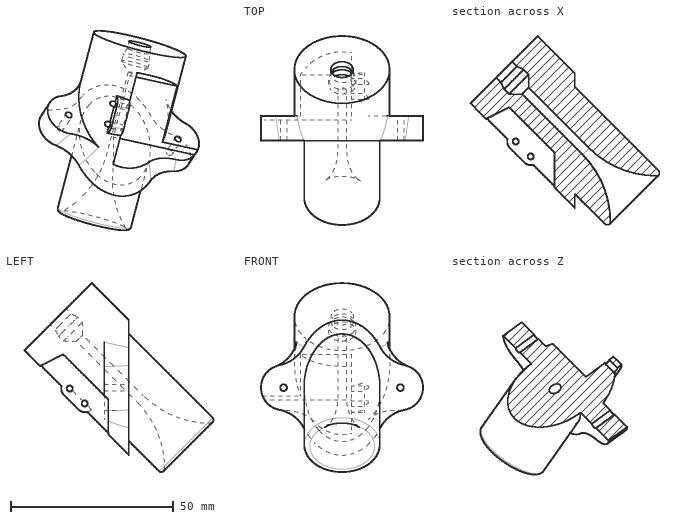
import cadquery as cq
import math

BODY_DIAMETER = 29.41
BODY_LENGTH = 30.9
SPOUT_DIAMETER = 23.41
SPOUT_LENGTH = 25.75

LUG_SPAN = 50.0
LUG_RADIUS = 7.0
LUG_THICKNESS = 7.6
LUG_BLEND_RADIUS = 10.5
SCREW_HOLE_DIAMETER = 2.0

RIM_RADIUS = 1.0
FLARE_ANGLE = 45.0
THROAT_DIAMETER = 2.75

SOCKET_MOUTH_DIAMETER = 6.9
SOCKET_MOUTH_DEPTH = 2.1
CHAMBER_DIAMETER = 8.4
CHAMBER_TOP_DEPTH = 4.25
CHAMBER_FLOOR_DEPTH = 6.4
CHAMBER_FLOOR_SLOPE = 45.0

POCKET_ROOF_OFFSET = 7.1
POCKET_ROOF_REACH = 21.6
POCKET_END_SLOPE = 18.0
POCKET_FRONT_Y = 6.35
POCKET_WALL_X = 2.9

PAD_RADIUS = 2.7
PAD_THICKNESS = 4.0
PAD_OFFSET = 13.1
PAD_REACH = 9.45
PAD_HOLE_PITCH = 6.5
PAD_HOLE_DIAMETER = 1.8

BODY_RADIUS = BODY_DIAMETER / 2
SPOUT_RADIUS = SPOUT_DIAMETER / 2
THROAT_RADIUS = THROAT_DIAMETER / 2
LUG_X = LUG_SPAN / 2 - LUG_RADIUS
FAR = 60.0

TUBE = cq.Plane(origin=(0, 0, 0), xDir=(0, -1, 1), normal=(0, 1, 1))
SIDE = cq.Plane(origin=(0, 0, 0), xDir=(0, 1, 1), normal=(-1, 0, 0))
PROFILE = cq.Plane(origin=(0, 0, 0), xDir=(0, -1, 1), normal=(-1, 0, 0))


def block_behind(y):
    """Block larger than the part, filling the space on the +Y side of a plane."""
    return cq.Workplane("XY").box(2 * FAR, FAR, 2 * FAR).translate((0, y + FAR / 2, 0))


def joins_lug_to_body(edge):
    """True for an edge that lies on both the lug cylinder and the body cylinder."""
    point = edge.positionAt(0.5)
    from_lug_axis = math.hypot(point.x - LUG_X, point.z)
    from_tube_axis = math.hypot(point.x, TUBE.toLocalCoords(point).x)
    tolerance = 0.001
    return abs(from_lug_axis - LUG_RADIUS) < tolerance and abs(from_tube_axis - BODY_RADIUS) < tolerance


def make_body_with_lugs():
    """Body cylinder cut off square to Y at the front, with a blended lug on each side."""
    cylinder = (
        cq.Workplane(TUBE)
        .workplane(offset=-BODY_LENGTH)
        .circle(BODY_RADIUS)
        .extrude(2 * BODY_LENGTH)
    )
    body = cylinder.intersect(block_behind(0))
    lug = cq.Workplane("XZ").center(LUG_X, 0).circle(LUG_RADIUS).extrude(-LUG_THICKNESS)
    one_sided = body.union(lug)
    seams = [edge for edge in one_sided.edges().vals() if joins_lug_to_body(edge)]
    one_sided = one_sided.newObject(seams).fillet(LUG_BLEND_RADIUS)
    return one_sided.union(one_sided.mirror("YZ"))


def make_spout():
    """Spout revolved about the tube axis, with a rolled rim and a flare narrowing to the throat.

    Its upper end is square to the axis, buried inside the body.
    """

    def rim_point(angle):
        """Point on the rim, with the angle measured from the spout's outer side round its end."""
        x = SPOUT_RADIUS - RIM_RADIUS + RIM_RADIUS * math.cos(math.radians(angle))
        z = RIM_RADIUS - SPOUT_LENGTH - RIM_RADIUS * math.sin(math.radians(angle))
        return x, z

    rim_sweep = 180 - FLARE_ANGLE
    mouth_radius, mouth_z = rim_point(rim_sweep)
    slope = math.radians(FLARE_ANGLE)
    flare_radius = (mouth_radius - THROAT_RADIUS) / (1 - math.cos(slope))
    throat_z = mouth_z + flare_radius * math.sin(slope)
    flare_middle = (
        THROAT_RADIUS + flare_radius * (1 - math.cos(slope / 2)),
        throat_z - flare_radius * math.sin(slope / 2),
    )
    buried_end_z = SPOUT_RADIUS
    return (
        cq.Workplane(PROFILE)
        .moveTo(0, buried_end_z)
        .lineTo(SPOUT_RADIUS, buried_end_z)
        .lineTo(*rim_point(0))
        .threePointArc(rim_point(rim_sweep / 2), (mouth_radius, mouth_z))
        .threePointArc(flare_middle, (THROAT_RADIUS, throat_z))
        .lineTo(0, throat_z)
        .close()
        .revolve(360, (0, 0), (0, 1))
    )


def make_bore():
    """Throat bore opening upward into a chamber that tapers in again towards its mouth."""
    mouth_radius = SOCKET_MOUTH_DIAMETER / 2
    chamber_radius = CHAMBER_DIAMETER / 2
    floor_z = BODY_LENGTH - CHAMBER_FLOOR_DEPTH
    floor_drop = (chamber_radius - THROAT_RADIUS) / math.tan(math.radians(CHAMBER_FLOOR_SLOPE))
    return (
        cq.Workplane(PROFILE)
        .moveTo(0, -SPOUT_LENGTH)
        .lineTo(THROAT_RADIUS, -SPOUT_LENGTH)
        .lineTo(THROAT_RADIUS, floor_z - floor_drop)
        .lineTo(chamber_radius, floor_z)
        .lineTo(chamber_radius, BODY_LENGTH - CHAMBER_TOP_DEPTH)
        .lineTo(mouth_radius, BODY_LENGTH - SOCKET_MOUTH_DEPTH)
        .lineTo(mouth_radius, BODY_LENGTH)
        .lineTo(0, BODY_LENGTH)
        .close()
        .revolve(360, (0, 0), (0, 1))
    )


def make_pocket():
    """Pocket open to the -X side and the underside, with a sloped upper end and a front limit."""
    slope_run = (FAR - POCKET_ROOF_OFFSET) * math.tan(math.radians(POCKET_END_SLOPE))
    prism = (
        cq.Workplane(SIDE)
        .workplane(offset=-POCKET_WALL_X)
        .moveTo(-FAR, POCKET_ROOF_OFFSET)
        .lineTo(POCKET_ROOF_REACH, POCKET_ROOF_OFFSET)
        .lineTo(POCKET_ROOF_REACH + slope_run, FAR)
        .lineTo(-FAR, FAR)
        .close()
        .extrude(FAR)
    )
    return prism.intersect(block_behind(POCKET_FRONT_Y))


def make_pad():
    """Round-ended pad standing on the pocket wall and reaching past the body's underside."""
    return (
        cq.Workplane(SIDE)
        .workplane(offset=-POCKET_WALL_X)
        .center(PAD_REACH, PAD_OFFSET)
        .slot2D(PAD_HOLE_PITCH + 2 * PAD_RADIUS, 2 * PAD_RADIUS)
        .extrude(-PAD_THICKNESS)
    )


def make_pad_holes():
    """Holes parallel to X, right through the pad and the body."""
    return (
        cq.Workplane(SIDE)
        .workplane(offset=-FAR)
        .center(PAD_REACH, PAD_OFFSET)
        .pushPoints([(-PAD_HOLE_PITCH / 2, 0), (PAD_HOLE_PITCH / 2, 0)])
        .circle(PAD_HOLE_DIAMETER / 2)
        .extrude(2 * FAR)
    )


def make_screw_holes():
    """One hole through the middle of each lug."""
    return (
        cq.Workplane("XZ")
        .pushPoints([(-LUG_X, 0), (LUG_X, 0)])
        .circle(SCREW_HOLE_DIAMETER / 2)
        .extrude(-LUG_THICKNESS)
    )


result = (
    make_body_with_lugs()
    .union(make_spout())
    .cut(make_bore())
    .cut(make_pocket())
    .union(make_pad())
    .cut(make_pad_holes())
    .cut(make_screw_holes())
)